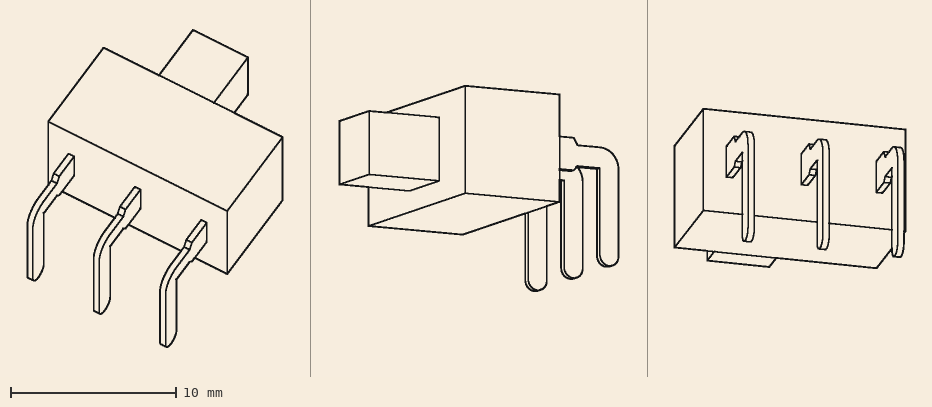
import cadquery as cq

total_depth = 16
total_height = 9.97

body_width = 12.7
body_depth = 6.43
body_height = 6.6

lever_side = 3.9
lever_length = 4.78
lever_offset_x = -1.0
lever_offset_z = -0.05

pin_count = 3
pin_pitch = 4.7
pin_thickness = 0.4
pin_reach = total_depth - body_depth - lever_length
pin_drop = total_height - body_height
root_height = 2.0
root_length = 1.73
taper_length = 0.25
leg_width = 1.28
root_center_z = 0.02
leg_center_z = -0.06
bend_radius = leg_width
tip_radius = leg_width / 2


def make_body():
    return cq.Workplane("XY").box(body_width, body_depth, body_height).translate((0, body_depth / 2, 0))


def make_lever():
    lever = cq.Workplane("XY").box(lever_side, lever_length, lever_side)
    return lever.translate((lever_offset_x, body_depth + lever_length / 2, lever_offset_z))


def make_pin(x):
    root_top = root_center_z + root_height / 2
    root_bottom = root_center_z - root_height / 2
    leg_top = leg_center_z + leg_width / 2
    leg_bottom = leg_center_z - leg_width / 2
    taper_end = -root_length - taper_length
    leg_inner = -pin_reach + leg_width
    tip_z = -body_height / 2 - pin_drop
    tip_center_z = tip_z + tip_radius
    diagonal = bend_radius * 0.5**0.5
    bend_center_y = -pin_reach + bend_radius
    bend_center_z = leg_top - bend_radius
    return (
        cq.Workplane("YZ", origin=(x, 0, 0))
        .moveTo(0, root_top)
        .lineTo(-root_length, root_top)
        .lineTo(taper_end, leg_top)
        .lineTo(bend_center_y, leg_top)
        .threePointArc((bend_center_y - diagonal, bend_center_z + diagonal), (-pin_reach, bend_center_z))
        .lineTo(-pin_reach, tip_center_z)
        .threePointArc((-pin_reach + tip_radius, tip_z), (leg_inner, tip_center_z))
        .lineTo(leg_inner, leg_bottom)
        .lineTo(taper_end, leg_bottom)
        .lineTo(-root_length, root_bottom)
        .lineTo(0, root_bottom)
        .close()
        .extrude(pin_thickness / 2, both=True)
    )


result = make_body().union(make_lever())
for index in range(pin_count):
    result = result.union(make_pin((index - (pin_count - 1) / 2) * pin_pitch))